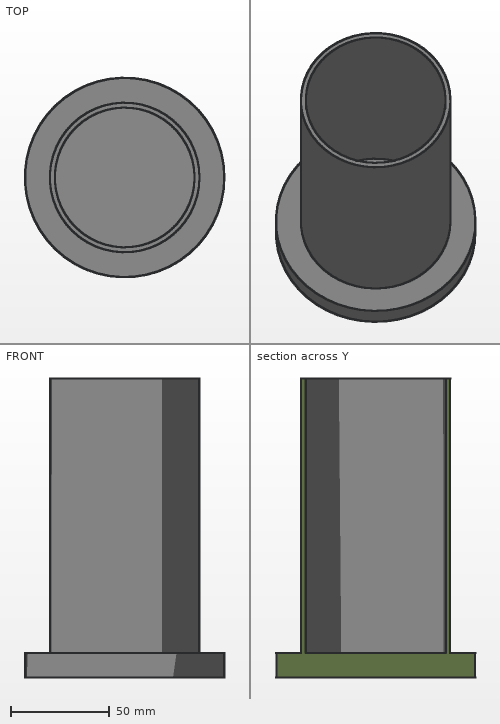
import cadquery as cq

total_height = 152.4
flange_diameter = 101.7
flange_thickness = 12.6
tube_diameter = 76.2
bore_diameter = 71.2

tube_height = total_height - flange_thickness

flange = cq.Workplane("XY").circle(flange_diameter / 2).extrude(flange_thickness)

tube = (
    cq.Workplane("XY")
    .workplane(offset=flange_thickness)
    .circle(tube_diameter / 2)
    .circle(bore_diameter / 2)
    .extrude(tube_height)
)

result = flange.union(tube)